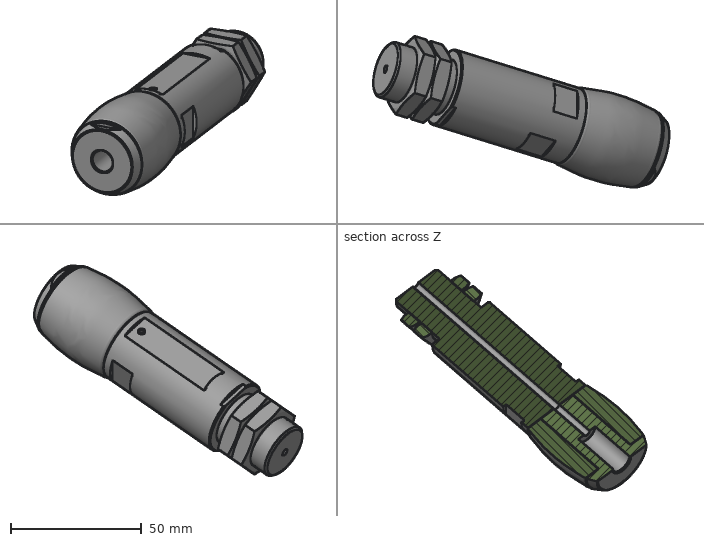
import cadquery as cq
import math

TOTAL_LENGTH = 116.0

BODY_DIAMETER = 30.0
COLLAR_DIAMETER = 29.8
AIR_PASSAGE_DIAMETER = 2.8
INLET_BORE_DIAMETER = 8.6
INLET_BORE_DEPTH = 19.7
WRENCH_SIZE = 27.0

CAP_LENGTH = 4.4
CAP_EDGE_BREAK = 0.2
CAP_CONE_LENGTH = 3.7
CAP_CONE_ANGLE = 30.0
CAP_FACE_DIAMETER = 25.0
CAP_WRENCH_SIZE = 26.3
CAP_FLAT_LENGTH = 3.0
INLET_CHAMFER = 0.5

NECK_DIAMETER = 17.0
SLEEVE_END = 36.9
CROWN_DIAMETER = 34.0
CROWN_RADIUS = 75.0
SLEEVE_ROUND_LENGTH = 1.5
ROUND_RISE_SHARE = 0.7
ROUND_LENGTH_SHARE = 0.4

COLLAR_LENGTH = 0.2
HOUSING_END = 91.0
HOUSING_CHAMFER = 0.5
STUB_DIAMETER = 22.0
STUB_CHAMFER = 0.8
BACK_FLAT_LENGTH = 1.9
SIDE_POCKET_START = 40.5
SIDE_POCKET_LENGTH = 10.1
RECESS_DEPTH = 1.2
TOP_RECESS_START = 39.9
TOP_RECESS_END = 79.5
TOP_RECESS_UNDERCUT = 0.6
BOTTOM_RECESS_START = 45.6
BOTTOM_RECESS_LENGTH = 10.8
PIN_HOLE_DIAMETER = 2.0
PIN_HOLE_MOUTH = 2.8
PIN_HOLE_DEPTH = 2.3
DRILL_TIP_ANGLE = 118.0
PIN_HOLE_Y = 43.4

NUT_COUNT = 2
HEXAGON_SIDES = 6
NUT_THICKNESS = 6.3
NUT_PITCH = 7.0
FIRST_NUT_START = 94.9
NUT_FACE_DIAMETER = 26.7
NUT_CHAMFER = 0.7

BODY_RADIUS = BODY_DIAMETER / 2
COLLAR_RADIUS = COLLAR_DIAMETER / 2
CUT_WIDTH = 2 * BODY_DIAMETER


def revolve(profile):
    """Turn a closed (radius, y) profile around the Y axis."""
    return profile.close().revolve(360, (0, 0, 0), (0, 1, 0))


def cylinder(diameter, start, end):
    radius = diameter / 2
    profile = (
        cq.Workplane("XY")
        .moveTo(0, start)
        .lineTo(radius, start)
        .lineTo(radius, end)
        .lineTo(0, end)
    )
    return revolve(profile)


def block(x_range, y_range, z_range):
    sizes = [high - low for low, high in (x_range, y_range, z_range)]
    corner = (x_range[0], y_range[0], z_range[0])
    return cq.Workplane("XY").box(*sizes, centered=False).translate(corner)


def wrench_flats(across_flats, start, end):
    """Material to remove above and below a pair of flats facing +Z and -Z."""
    wide = (-CUT_WIDTH / 2, CUT_WIDTH / 2)
    upper = block(wide, (start, end), (across_flats / 2, CUT_WIDTH / 2))
    return upper.union(upper.mirror("XY"))


def air_passage():
    inlet = cylinder(INLET_BORE_DIAMETER, 0, INLET_BORE_DEPTH)
    return inlet.union(cylinder(AIR_PASSAGE_DIAMETER, 0, TOTAL_LENGTH))


def make_cap():
    cone_slope = math.tan(math.radians(CAP_CONE_ANGLE))
    cone_end_radius = BODY_RADIUS - (CAP_CONE_LENGTH - CAP_EDGE_BREAK) * cone_slope
    profile = (
        cq.Workplane("XY")
        .lineTo(CAP_FACE_DIAMETER / 2, 0)
        .lineTo(cone_end_radius, CAP_EDGE_BREAK)
        .lineTo(BODY_RADIUS, CAP_CONE_LENGTH)
        .lineTo(BODY_RADIUS, CAP_LENGTH)
        .lineTo(0, CAP_LENGTH)
    )
    neck = cylinder(NECK_DIAMETER, CAP_LENGTH, SLEEVE_END)
    cap = revolve(profile).union(neck)
    cap = cap.cut(wrench_flats(CAP_WRENCH_SIZE, 0, CAP_FLAT_LENGTH)).cut(air_passage())
    inlet_edge = cap.faces("<Y").edges("%CIRCLE").edges(cq.selectors.RadiusNthSelector(0))
    return inlet_edge.chamfer(INLET_CHAMFER)


def make_sleeve():
    middle = (CAP_LENGTH + SLEEVE_END) / 2
    crown_start = CAP_LENGTH + SLEEVE_ROUND_LENGTH
    crown_end = SLEEVE_END - SLEEVE_ROUND_LENGTH
    half_crown = (crown_end - crown_start) / 2
    crown_radius = CROWN_DIAMETER / 2
    crown_end_radius = crown_radius - CROWN_RADIUS + math.sqrt(CROWN_RADIUS**2 - half_crown**2)
    round_radius = COLLAR_RADIUS + ROUND_RISE_SHARE * (crown_end_radius - COLLAR_RADIUS)
    round_offset = ROUND_LENGTH_SHARE * SLEEVE_ROUND_LENGTH
    profile = (
        cq.Workplane("XY")
        .moveTo(0, CAP_LENGTH)
        .lineTo(COLLAR_RADIUS, CAP_LENGTH)
        .threePointArc((round_radius, CAP_LENGTH + round_offset), (crown_end_radius, crown_start))
        .threePointArc((crown_radius, middle), (crown_end_radius, crown_end))
        .threePointArc((round_radius, SLEEVE_END - round_offset), (COLLAR_RADIUS, SLEEVE_END))
        .lineTo(0, SLEEVE_END)
    )
    return revolve(profile).cut(cylinder(NECK_DIAMETER, CAP_LENGTH, SLEEVE_END))


def top_recess():
    """Shallow flat-floored recess whose rear wall leans back under the surface."""
    floor = BODY_RADIUS - RECESS_DEPTH
    profile = [
        (TOP_RECESS_START, floor),
        (TOP_RECESS_END + TOP_RECESS_UNDERCUT, floor),
        (TOP_RECESS_END, BODY_RADIUS),
        (TOP_RECESS_START, BODY_RADIUS),
    ]
    return cq.Workplane("YZ").polyline(profile).close().extrude(CUT_WIDTH / 2, both=True)


def bottom_recess():
    wide = (-CUT_WIDTH / 2, CUT_WIDTH / 2)
    y_range = (BOTTOM_RECESS_START, BOTTOM_RECESS_START + BOTTOM_RECESS_LENGTH)
    return block(wide, y_range, (-CUT_WIDTH / 2, RECESS_DEPTH - BODY_RADIUS))


def side_pockets():
    tall = (-CUT_WIDTH / 2, CUT_WIDTH / 2)
    y_range = (SIDE_POCKET_START, SIDE_POCKET_START + SIDE_POCKET_LENGTH)
    right = block((WRENCH_SIZE / 2, CUT_WIDTH / 2), y_range, tall)
    return right.union(right.mirror("YZ"))


def pin_hole():
    """Drilled hole with a countersunk mouth, in the floor of the top recess."""
    floor = BODY_RADIUS - RECESS_DEPTH
    mouth_radius = PIN_HOLE_MOUTH / 2
    hole_radius = PIN_HOLE_DIAMETER / 2
    tip_depth = hole_radius / math.tan(math.radians(DRILL_TIP_ANGLE / 2))
    profile = (
        cq.Workplane("XZ")
        .moveTo(0, floor)
        .lineTo(mouth_radius, floor)
        .lineTo(hole_radius, floor - (mouth_radius - hole_radius))
        .lineTo(hole_radius, floor - PIN_HOLE_DEPTH)
        .lineTo(0, floor - PIN_HOLE_DEPTH - tip_depth)
        .close()
    )
    return profile.revolve(360, (0, 0, 0), (0, 1, 0)).translate((0, PIN_HOLE_Y, 0))


def make_housing():
    stub_radius = STUB_DIAMETER / 2
    profile = (
        cq.Workplane("XY")
        .moveTo(0, SLEEVE_END)
        .lineTo(COLLAR_RADIUS, SLEEVE_END)
        .lineTo(COLLAR_RADIUS, SLEEVE_END + COLLAR_LENGTH)
        .lineTo(BODY_RADIUS, SLEEVE_END + COLLAR_LENGTH)
        .lineTo(BODY_RADIUS, HOUSING_END - HOUSING_CHAMFER)
        .lineTo(BODY_RADIUS - HOUSING_CHAMFER, HOUSING_END)
        .lineTo(stub_radius, HOUSING_END)
        .lineTo(stub_radius, TOTAL_LENGTH - STUB_CHAMFER)
        .lineTo(stub_radius - STUB_CHAMFER, TOTAL_LENGTH)
        .lineTo(0, TOTAL_LENGTH)
    )
    housing = revolve(profile)
    cutters = [
        wrench_flats(WRENCH_SIZE, HOUSING_END - BACK_FLAT_LENGTH, HOUSING_END),
        top_recess(),
        bottom_recess(),
        side_pockets(),
        pin_hole(),
        air_passage(),
    ]
    for cutter in cutters:
        housing = housing.cut(cutter)
    return housing


def make_nut(start):
    """Hexagon nut with two corners on the X axis and chamfered corners on both faces."""
    corner_diameter = WRENCH_SIZE / math.cos(math.pi / HEXAGON_SIDES)
    corner_radius = corner_diameter / 2
    face_radius = NUT_FACE_DIAMETER / 2
    end = start + NUT_THICKNESS
    end_plane = cq.Workplane("XZ", origin=(0, end, 0))
    hexagon = end_plane.polygon(HEXAGON_SIDES, corner_diameter).extrude(NUT_THICKNESS)
    chamfer_envelope = revolve(
        cq.Workplane("XY")
        .moveTo(0, start)
        .lineTo(face_radius, start)
        .lineTo(corner_radius, start + NUT_CHAMFER)
        .lineTo(corner_radius, end - NUT_CHAMFER)
        .lineTo(face_radius, end)
        .lineTo(0, end)
    )
    return hexagon.intersect(chamfer_envelope).cut(cylinder(STUB_DIAMETER, start, end))


cap = make_cap()
sleeve = make_sleeve()
housing = make_housing()
nuts = [make_nut(FIRST_NUT_START + index * NUT_PITCH) for index in range(NUT_COUNT)]

result = cq.Compound.makeCompound(
    [cap.val(), sleeve.val(), housing.val(), *[nut.val() for nut in nuts]]
)